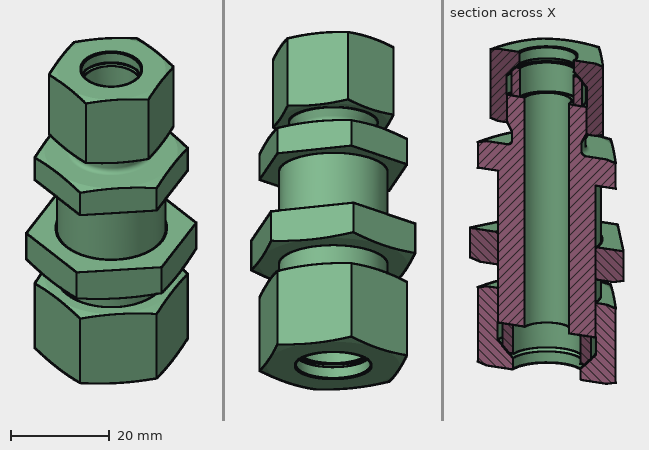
import cadquery as cq
import math


total_height = 68.0
lower_nut_height = 17.0
locknut_bottom = 21.9
locknut_height = 7.0
flange_bottom = 41.9
flange_top = 47.95
upper_nut_height = 15.5

upper_nut_width = 22.0
lower_nut_width = 27.0
flange_width = lower_nut_width
locknut_width = 30.0
corner_slope = math.tan(math.radians(15))

upper_thread_diameter = 18.0
lower_thread_diameter = 22.0
body_bore = 10.0
neck_diameter = 15.7
neck_fillet = 1.0
runout_start = 50.65
runout_angle = math.radians(30)
runout_blend = 1.35

upper_tube_diameter = 12.0
lower_tube_diameter = 15.0
mouth_clearance = 0.1
mouth_depth = 2.5
mouth_chamfer = 0.2
upper_ring_diameter = 16.0
lower_ring_diameter = 20.0
ring_setback = 0.9
ring_length = 6.1
ring_face_depth = mouth_depth + ring_setback
body_end_depth = ring_face_depth + ring_length

locknut_hole_chamfer = 0.3


def revolve_profile(profile):
    """Turn an outline drawn as (radius, height) about the Z axis."""
    return profile.close().revolve(360, (0, 0, 0), (0, 1, 0))


def hexagon(width, bottom, top, chamfer_bottom=True, chamfer_top=True):
    """Hexagonal prism with corners on the Y axis and conical corner chamfers."""
    flat_radius = width / 2
    corner_radius = flat_radius / math.cos(math.radians(30))
    chamfer_height = (corner_radius - flat_radius) * corner_slope
    prism = (
        cq.Workplane("XY", origin=(0, 0, bottom))
        .transformed(rotate=(0, 0, 30))
        .polygon(6, 2 * corner_radius)
        .extrude(top - bottom)
    )
    envelope = cq.Workplane("XZ").moveTo(0, bottom)
    if chamfer_bottom:
        envelope = envelope.lineTo(flat_radius, bottom).lineTo(corner_radius, bottom + chamfer_height)
    else:
        envelope = envelope.lineTo(corner_radius, bottom)
    if chamfer_top:
        envelope = envelope.lineTo(corner_radius, top - chamfer_height).lineTo(flat_radius, top)
    else:
        envelope = envelope.lineTo(corner_radius, top)
    return prism.intersect(revolve_profile(envelope.lineTo(0, top)))


def make_clamping_nut(width, height, tube_diameter, thread_diameter):
    """Clamping nut, mouth face up at height zero, with a 45 degree cone from mouth to thread."""
    mouth_radius = tube_diameter / 2 + mouth_clearance
    thread_radius = thread_diameter / 2
    cone_end = -mouth_depth - (thread_radius - mouth_radius)
    cavity = revolve_profile(
        cq.Workplane("XZ")
        .moveTo(0, 0)
        .lineTo(mouth_radius + mouth_chamfer, 0)
        .lineTo(mouth_radius, -mouth_chamfer)
        .lineTo(mouth_radius, -mouth_depth)
        .lineTo(thread_radius, cone_end)
        .lineTo(thread_radius, -height)
        .lineTo(0, -height)
    )
    return hexagon(width, -height, 0).cut(cavity)


def make_clamping_ring(ring_diameter, tube_diameter):
    """Ring that fits the nut's cone and rests on the body's end, placed like the nut around it."""
    ring_radius = ring_diameter / 2
    bore_radius = tube_diameter / 2
    face_radius = bore_radius + mouth_clearance + ring_setback
    face_height = -ring_face_depth
    cone_end = face_height - (ring_radius - face_radius)
    return revolve_profile(
        cq.Workplane("XZ")
        .moveTo(bore_radius, face_height)
        .lineTo(face_radius, face_height)
        .lineTo(ring_radius, cone_end)
        .lineTo(ring_radius, -body_end_depth)
        .lineTo(bore_radius, -body_end_depth)
    )


def place_at_top(part):
    return part.translate((0, 0, total_height))


def place_at_bottom(part):
    return part.rotate((0, 0, 0), (1, 0, 0), 180)


def make_body():
    """Two threaded studs on a hexagonal flange, with a filleted neck above the flange."""
    top = total_height - body_end_depth
    bottom = body_end_depth

    lower_stud = (
        cq.Workplane("XY", origin=(0, 0, bottom))
        .circle(lower_thread_diameter / 2)
        .extrude(flange_bottom - bottom)
    )
    flange = hexagon(flange_width, flange_bottom, flange_top, chamfer_bottom=False)

    neck_radius = neck_diameter / 2
    thread_radius = upper_thread_diameter / 2
    runout_end = runout_start + (thread_radius - neck_radius) / math.tan(runout_angle)
    blend_length = runout_blend * math.tan(runout_angle / 2)
    blend_end = (
        neck_radius + blend_length * math.sin(runout_angle),
        runout_start + blend_length * math.cos(runout_angle),
    )
    upper_stud = revolve_profile(
        cq.Workplane("XZ")
        .moveTo(0, flange_top)
        .lineTo(neck_radius + neck_fillet, flange_top)
        .radiusArc((neck_radius, flange_top + neck_fillet), neck_fillet)
        .lineTo(neck_radius, runout_start - blend_length)
        .radiusArc(blend_end, runout_blend)
        .lineTo(thread_radius, runout_end)
        .lineTo(thread_radius, top)
        .lineTo(0, top)
    )
    bore = cq.Workplane("XY", origin=(0, 0, bottom)).circle(body_bore / 2).extrude(top - bottom)
    return lower_stud.union(flange).union(upper_stud).cut(bore)


def make_locknut():
    """Locknut with its corners chamfered below and its hole chamfered above."""
    top = locknut_bottom + locknut_height
    hole_radius = lower_thread_diameter / 2
    hole = revolve_profile(
        cq.Workplane("XZ")
        .moveTo(0, locknut_bottom)
        .lineTo(hole_radius, locknut_bottom)
        .lineTo(hole_radius, top - locknut_hole_chamfer)
        .lineTo(hole_radius + locknut_hole_chamfer, top)
        .lineTo(0, top)
    )
    return hexagon(locknut_width, locknut_bottom, top, chamfer_top=False).cut(hole)


body = make_body()
locknut = make_locknut()
upper_nut = place_at_top(
    make_clamping_nut(upper_nut_width, upper_nut_height, upper_tube_diameter, upper_thread_diameter)
)
lower_nut = place_at_bottom(
    make_clamping_nut(lower_nut_width, lower_nut_height, lower_tube_diameter, lower_thread_diameter)
)
upper_ring = place_at_top(make_clamping_ring(upper_ring_diameter, upper_tube_diameter))
lower_ring = place_at_bottom(make_clamping_ring(lower_ring_diameter, lower_tube_diameter))

result = cq.Compound.makeCompound(
    [
        body.solids().val(),
        locknut.solids().val(),
        upper_nut.solids().val(),
        lower_nut.solids().val(),
        upper_ring.val(),
        lower_ring.val(),
    ]
)